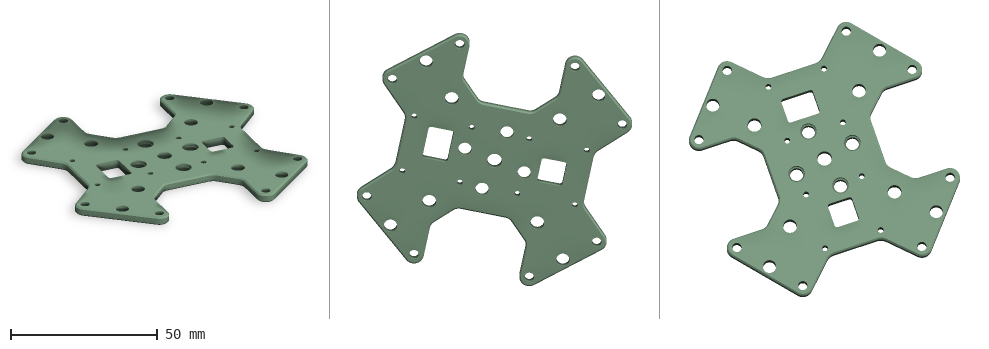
import math

import cadquery as cq

thickness = 3.0
edge_chamfer = 0.5

waist_half_width = 19.3
end_half_length = 32.8
waist_corner_y = 9.15
tip_radius = 3.395
end_corner_radius = 4.0
waist_corner_radius = 3.5

end_tip = (21.43, 40.0)
side_tip = (38.37, 20.05)
tip_hole_diameter = 3.2
arm_hole_offset = 30.0
arm_hole_diameter = 4.5
shoulder_hole_offset = 18.8
shoulder_hole_diameter = 4.7

small_hole_diameter = 2.0
small_hole_x = 10.0
small_hole_rows = (10.0, 30.0)

center_hole_diameter = 5.0
ring_hole_diameter = 4.5
counterbore_diameter = 5.6
counterbore_depth = 1.0
ring_hole_position = (10.75, 2.1)

windows = (
    (0.0, 20.0, 8.7, 8.7),
    (1.85, -20.0, 11.4, 8.7),
)
window_corner_radius = 0.9


def mirrored(point):
    """Return the point repeated in all four quadrants."""
    x, y = point
    return [(x, y), (-x, y), (-x, -y), (x, -y)]


def tip_corners():
    """Sharp corners of the +X +Y arm, where the edges tangent to its two tip circles meet."""
    run = side_tip[0] - end_tip[0]
    drop = end_tip[1] - side_tip[1]
    length = math.hypot(run, drop)
    normal_x = drop / length
    normal_y = run / length
    reach = normal_x * end_tip[0] + normal_y * end_tip[1] + tip_radius
    rise = end_tip[1] - end_tip[0] + math.sqrt(2) * tip_radius
    end_x = (reach - normal_y * rise) / (normal_x + normal_y)
    side_y = side_tip[1] - tip_radius
    side_x = (reach - normal_y * side_y) / normal_x
    return (end_x, end_x + rise), (side_x, side_y)


def arm_outline():
    """Sharp corners of the +X +Y quadrant, each with its fillet radius."""
    end_corner, side_corner = tip_corners()
    end_notch = (end_half_length - (end_corner[1] - end_corner[0]), end_half_length)
    shoulder = (waist_half_width + side_corner[1] - waist_corner_y, side_corner[1])
    waist = (waist_half_width, waist_corner_y)
    return [
        (end_notch, end_corner_radius),
        (end_corner, tip_radius),
        (side_corner, tip_radius),
        (shoulder, waist_corner_radius),
        (waist, waist_corner_radius),
    ]


def make_plate():
    """Mirror the quadrant outline, round its corners and chamfer the outer edges."""
    quadrant = [corner for corner, _ in arm_outline()]
    upper = quadrant[::-1] + [(-x, y) for x, y in quadrant]
    lower = [(-x, -y) for x, y in upper]
    plate = cq.Workplane("XY").polyline(upper + lower).close().extrude(thickness)
    for corner, radius in arm_outline():
        for x, y in mirrored(corner):
            nearest = cq.selectors.NearestToPointSelector((x, y, thickness / 2))
            plate = plate.edges("|Z").edges(nearest).fillet(radius)
    return plate.faces("<Z or >Z").chamfer(edge_chamfer)


def drill(points, diameter):
    """Cylinders through the full thickness at the given points."""
    return cq.Workplane("XY").pushPoints(points).circle(diameter / 2).extrude(thickness)


def cut_plain_holes(plate):
    """Arm, mounting and centre holes."""
    arm_point = (arm_hole_offset, arm_hole_offset)
    shoulder_point = (shoulder_hole_offset, shoulder_hole_offset)
    plate = plate.cut(drill(mirrored(end_tip) + mirrored(side_tip), tip_hole_diameter))
    plate = plate.cut(drill(mirrored(arm_point), arm_hole_diameter))
    plate = plate.cut(drill(mirrored(shoulder_point), shoulder_hole_diameter))
    for row in small_hole_rows:
        plate = plate.cut(drill(mirrored((small_hole_x, row)), small_hole_diameter))
    return plate.cut(drill([(0, 0)], center_hole_diameter))


def cut_ring_holes(plate):
    """Four holes at quarter turns around the centre, counterbored from the top face."""
    x, y = ring_hole_position
    points = [(x, y), (-y, x), (-x, -y), (y, -x)]
    plate = plate.cut(drill(points, ring_hole_diameter))
    counterbores = drill(points, counterbore_diameter).translate((0, 0, thickness - counterbore_depth))
    return plate.cut(counterbores)


def cut_windows(plate):
    """Rounded rectangular openings near the two ends."""
    for x, y, width, height in windows:
        window = cq.Workplane("XY").center(x, y).rect(width, height).extrude(thickness)
        plate = plate.cut(window.edges("|Z").fillet(window_corner_radius))
    return plate


result = cut_windows(cut_ring_holes(cut_plain_holes(make_plate())))